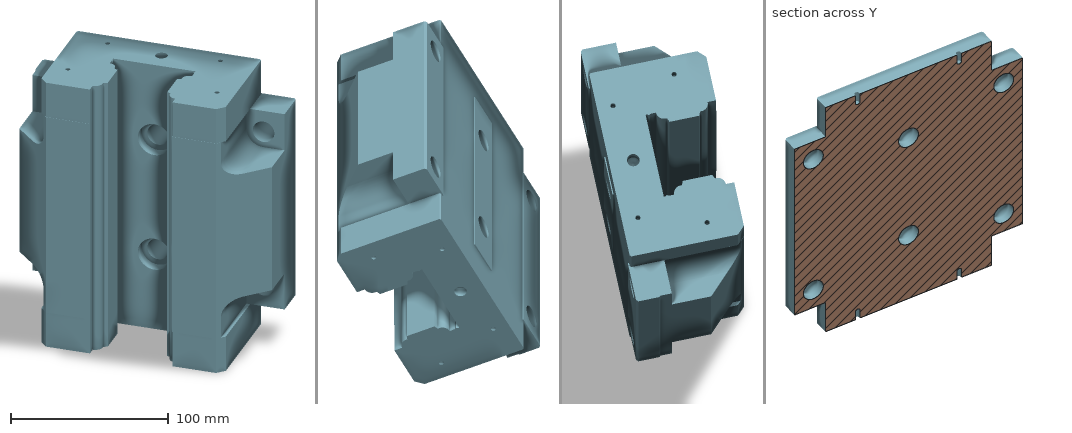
import cadquery as cq
import math


total_length = 188.0
total_width = 170.0
total_height = 76.0
body_length = 139.1

half_width = total_width / 2
foot_half_width = 57.0
reference_edge_height = 15.0
reference_edge_offset = 0.8
top_chamfer = 1.3
relief_depth = 0.8
flange_pad_inner = 58.8
center_pad_half_width = 12.6

cap_half_width = 61.9
cap_bottom = 75.8
cap_top_chamfer = 1.0
cap_flank_height = cap_half_width - foot_half_width

channel_ceiling = 30.0
channel_half_width = 27.6
lobe_middle = 53.5
lobe_half_height = 16.7
lobe_inner = 22.5
lobe_radius = channel_half_width - lobe_inner
nose_inner = 20.0
nose_half_height = 10.7
nose_tip_half_height = 9.5
seal_rib_top = 31.2
seal_rib_height = 1.9
seal_rib_width = 0.8

pocket_floor = 23.1
pocket_inner = 59.5
pocket_length = 25.8
pocket_radius = 11.3

bolt_diameter = 14.5
flange_bolt_x = 70.9
flange_bolt_z = 54.7
center_bolt_z = 40.8
counterbore_diameter = 22.0
counterbore_depth = 7.5

drill_point_angle = 118.0
lube_diameter = 8.0
lube_height = 16.2
lube_depth = 7.5
screw_diameter = 3.2
screw_depth = 7.5
upper_screw_x = 37.8
upper_screw_height = 11.0
lower_screw_x = 50.0
lower_screw_height = 53.4


def prism(wire, length):
    """Extrude a closed XY outline symmetrically about Z = 0."""
    return wire.extrude(length / 2, both=True)


def add_mirrored(shape, plane):
    return shape.union(shape.mirror(plane))


def make_body():
    flank_sum = foot_half_width + total_height
    lower_left = half_width - reference_edge_offset
    outline = [
        (-half_width + top_chamfer, 0),
        (half_width - top_chamfer, 0),
        (half_width, -top_chamfer),
        (half_width, half_width - flank_sum),
        (foot_half_width, -total_height),
        (-foot_half_width, -total_height),
        (-lower_left, lower_left - flank_sum),
        (-lower_left, -reference_edge_height - reference_edge_offset),
        (-half_width, -reference_edge_height),
        (-half_width, -top_chamfer),
    ]
    body = prism(cq.Workplane("XY").polyline(outline).close(), body_length)
    relief_width = flange_pad_inner - center_pad_half_width
    relief_x = (flange_pad_inner + center_pad_half_width) / 2
    reliefs = (
        cq.Workplane("XY")
        .pushPoints([(-relief_x, 0), (relief_x, 0)])
        .rect(relief_width, 2 * relief_depth)
    )
    return body.cut(prism(reliefs, body_length))


def make_corner_pocket():
    """Pocket at the +X, +Z corner, open to the outside, the end and the -Y side."""
    inner_z = body_length / 2 - pocket_length
    width = half_width - pocket_inner
    return (
        cq.Workplane("XY")
        .box(width, total_height - pocket_floor, pocket_length, centered=False)
        .translate((pocket_inner, -total_height, inner_z))
        .edges("|Y and <X and <Z")
        .fillet(pocket_radius)
    )


def make_end_cap():
    """End cap at +Z."""
    half_outline = [
        (0, -relief_depth),
        (cap_half_width - cap_top_chamfer, -relief_depth),
        (cap_half_width, -relief_depth - cap_top_chamfer),
        (cap_half_width, cap_flank_height - cap_bottom),
        (foot_half_width, -cap_bottom),
        (0, -cap_bottom),
    ]
    cap_length = (total_length - body_length) / 2
    half_cap = (
        cq.Workplane("XY", origin=(0, 0, body_length / 2))
        .polyline(half_outline)
        .close()
        .extrude(cap_length)
    )
    return add_mirrored(half_cap, "YZ")


def make_channel_half():
    """Half of the rail channel on the +X side, over the full length."""
    lobe_top = lobe_middle - lobe_half_height
    lobe_bottom = lobe_middle + lobe_half_height
    rib_middle = seal_rib_top + seal_rib_height / 2
    arc_sweep = lobe_radius * (1 - math.sqrt(0.5))
    half = (
        cq.Workplane("XY")
        .moveTo(0, -channel_ceiling)
        .lineTo(channel_half_width, -channel_ceiling)
        .lineTo(channel_half_width, -seal_rib_top)
        .lineTo(channel_half_width - seal_rib_width, -rib_middle)
        .lineTo(channel_half_width, -seal_rib_top - seal_rib_height)
        .lineTo(channel_half_width, -lobe_top)
        .threePointArc(
            (lobe_inner + arc_sweep, -lobe_top - arc_sweep),
            (lobe_inner, -lobe_top - lobe_radius),
        )
        .lineTo(lobe_inner, -lobe_middle + nose_half_height)
        .lineTo(nose_inner, -lobe_middle + nose_tip_half_height)
        .lineTo(nose_inner, -lobe_middle - nose_tip_half_height)
        .lineTo(lobe_inner, -lobe_middle - nose_half_height)
        .lineTo(lobe_inner, -lobe_bottom + lobe_radius)
        .threePointArc(
            (lobe_inner + arc_sweep, -lobe_bottom + arc_sweep),
            (channel_half_width, -lobe_bottom),
        )
        .lineTo(channel_half_width, -total_height)
        .lineTo(0, -total_height)
        .close()
    )
    return prism(half, total_length)


def through_holes(diameter, points):
    """Holes parallel to Y at the given (x, z) points, through the whole height."""
    holes = cq.Workplane("XZ").pushPoints(points)
    return holes.circle(diameter / 2).extrude(total_height)


def drilled_hole(x, height, diameter, depth):
    """Blind hole with a drill-point bottom, sunk into the +Z end face."""
    radius = diameter / 2
    point_depth = radius / math.tan(math.radians(drill_point_angle / 2))
    return (
        cq.Workplane("XZ")
        .polyline([(0, 0), (radius, 0), (radius, -depth), (0, -depth - point_depth)])
        .close()
        .revolve(360, (0, 0), (0, 1))
        .translate((x, -height, total_length / 2))
    )


pocket_pair = add_mirrored(make_corner_pocket(), "YZ")
result = make_body().cut(add_mirrored(pocket_pair, "XY"))
end_cap = make_end_cap()
result = result.union(end_cap).union(end_cap.mirror("XY"))

result = result.cut(add_mirrored(make_channel_half(), "YZ"))

flange_bolts = [(sx * flange_bolt_x, sz * flange_bolt_z) for sx in (-1, 1) for sz in (-1, 1)]
center_bolts = [(0, -center_bolt_z), (0, center_bolt_z)]
result = result.cut(through_holes(bolt_diameter, flange_bolts + center_bolts))
counterbores = (
    cq.Workplane("XZ", origin=(0, counterbore_depth - channel_ceiling, 0))
    .pushPoints(center_bolts)
    .circle(counterbore_diameter / 2)
    .extrude(counterbore_depth)
)
result = result.cut(counterbores)

end_holes = [drilled_hole(0, lube_height, lube_diameter, lube_depth)]
for side in (-1, 1):
    end_holes.append(drilled_hole(side * upper_screw_x, upper_screw_height, screw_diameter, screw_depth))
    end_holes.append(drilled_hole(side * lower_screw_x, lower_screw_height, screw_diameter, screw_depth))
for hole in end_holes:
    result = result.cut(hole).cut(hole.mirror("XY"))